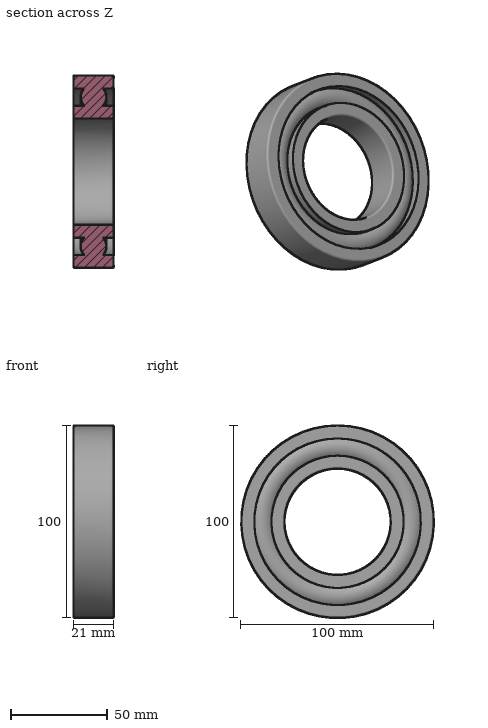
import cadquery as cq
import math

outer_radius = 50.0
bore_radius = 27.5
half_width = 21.0 / 2
edge_radius = 1.1

recess_outer_radius = 43.2
recess_inner_radius = 34.3
ball_radius = 13.5 / 2
pitch_radius = (recess_outer_radius + recess_inner_radius) / 2
half_gap = (recess_outer_radius - recess_inner_radius) / 2

floor_edge = math.sqrt(ball_radius**2 - half_gap**2)

profile = (
    cq.Workplane("XZ")
    .moveTo(-half_width, bore_radius)
    .lineTo(half_width, bore_radius)
    .lineTo(half_width, recess_inner_radius)
    .lineTo(floor_edge, recess_inner_radius)
    .threePointArc((ball_radius, pitch_radius), (floor_edge, recess_outer_radius))
    .lineTo(half_width, recess_outer_radius)
    .lineTo(half_width, outer_radius)
    .lineTo(-half_width, outer_radius)
    .lineTo(-half_width, recess_outer_radius)
    .lineTo(-floor_edge, recess_outer_radius)
    .threePointArc((-ball_radius, pitch_radius), (-floor_edge, recess_inner_radius))
    .lineTo(-half_width, recess_inner_radius)
    .close()
)
ring = profile.revolve(360, (0, 0), (1, 0))

rounded_edges = [
    edge
    for edge in ring.edges("%CIRCLE").vals()
    if min(abs(edge.radius() - outer_radius), abs(edge.radius() - bore_radius)) < edge_radius
]
result = ring.newObject(rounded_edges).fillet(edge_radius)